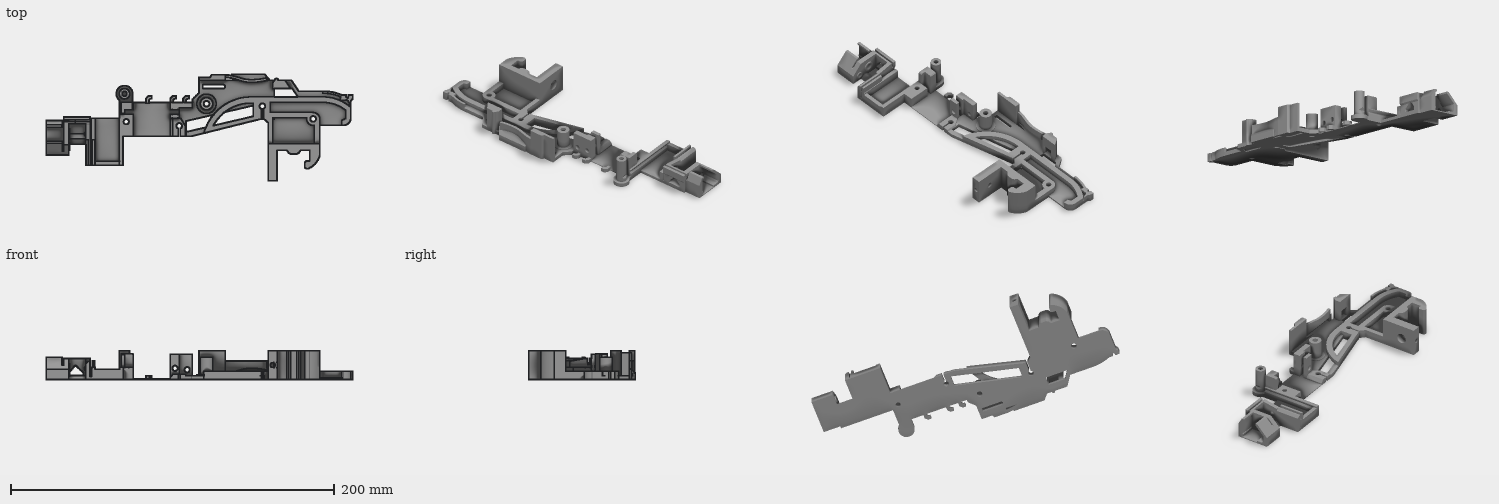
import cadquery as cq
import math

FULL_Z = 17.95
STRAP_Z = 0.5
PLATE_Z = 2.5
ARM_Z = 5.3
POCKET_FLOOR_Z = 1.15
BLOCK_Z = 7.6
SCREW_DIA = 3.4
SLIT_WIDTH = 1.1


def prism(points, bottom, top):
    return cq.Workplane("XY").workplane(offset=bottom).polyline(points).close().extrude(top - bottom)


def box(x_range, y_range, z_range):
    x0, x1 = x_range
    y0, y1 = y_range
    return prism([(x0, y0), (x1, y0), (x1, y1), (x0, y1)], *z_range)


def x_prism(points, start, end):
    """Extrude a (Y, Z) outline along X."""
    return cq.Workplane("YZ").workplane(offset=start).polyline(points).close().extrude(end - start)


def y_prism(points, start, end):
    """Extrude an (X, Z) outline along Y."""
    return cq.Workplane("XZ").workplane(offset=-end).polyline(points).close().extrude(end - start)


def cylinder(plane, offset, center, diameter, length):
    return cq.Workplane(plane).workplane(offset=offset).center(*center).circle(diameter / 2).extrude(length)


def z_cylinder(center, diameter, bottom, top):
    return cylinder("XY", bottom, center, diameter, top - bottom)


def x_cylinder(center, diameter, start, end):
    return cylinder("YZ", start, center, diameter, end - start)


def y_cylinder(center, diameter, start, end):
    return cylinder("XZ", -end, center, diameter, end - start)


def point_on_circle(center, radius, x):
    """Upper point of a circle at the given X."""
    return (x, center[1] + math.sqrt(radius ** 2 - (x - center[0]) ** 2))


def join(solids):
    total = solids[0]
    for solid in solids[1:]:
        total = total.union(solid)
    return total


HOUSING_END_X = 14.1
HOUSING_SLOT_X = (9.9, 10.9)
HOUSING_SLOT_Z = 9.0
HOUSING_FRONT_Y = 16.0
HOUSING_BACK_Y = 37.5
HOUSING_TOP_Z = 13.9
ROOF_EAVE_Z = 6.5
ROOF_RIDGE_Y = 23.3
ROOF_LIP_Y = 24.7
BACK_LIP_Y = (33.2, 34.9)
BACK_INNER_Y = 34.4
BACK_CHAMFER_Z = 9.3
LIP_BOTTOM_Z = 12.7
CAVITY_FRONT_Y = 18.7
CAVITY_EAVE_Z = 7.0
CAVITY_STEP = (ROOF_RIDGE_Y, 1.7)
CAVITY_BEVEL = 1.0
GUIDE_SIZE_Y = 0.5
GUIDE_Z = (2.2, 2.9)
END_WALL_Z = 13.1
HOUSING_FLOOR_Z = 0.6
LENS_CENTER = (29.0, 6.7)
LENS_DIA = 4.5
LENS_PAD_DIA = 6.5
PIN_CENTER = (21.3, 4.2)
PIN_DIA = 3.0
PIN_PAD_DIA = 4.5
PAD_THICKNESS = 0.6


def sensor_housing():
    outline = [
        (HOUSING_FRONT_Y, 0), (HOUSING_FRONT_Y, ROOF_EAVE_Z), (ROOF_RIDGE_Y, HOUSING_TOP_Z),
        (BACK_LIP_Y[1], HOUSING_TOP_Z), (HOUSING_BACK_Y, BACK_CHAMFER_Z), (HOUSING_BACK_Y, 0),
    ]
    cavity = [
        (BACK_INNER_Y, HOUSING_FLOOR_Z), (BACK_INNER_Y, LIP_BOTTOM_Z), (BACK_LIP_Y[0], LIP_BOTTOM_Z),
        (BACK_LIP_Y[0], FULL_Z), (ROOF_LIP_Y, FULL_Z), (ROOF_LIP_Y, LIP_BOTTOM_Z),
        (CAVITY_FRONT_Y, CAVITY_EAVE_Z),
        (CAVITY_FRONT_Y, CAVITY_STEP[1] + CAVITY_BEVEL),
        (CAVITY_FRONT_Y + CAVITY_BEVEL, CAVITY_STEP[1]), CAVITY_STEP,
        (CAVITY_STEP[0], HOUSING_FLOOR_Z),
    ]
    wall_x = HOUSING_SLOT_X[1]
    housing = x_prism(outline, 0, HOUSING_END_X).cut(x_prism(cavity, 0, wall_x))
    housing = housing.cut(box((wall_x, HOUSING_END_X), (0, HOUSING_BACK_Y), (END_WALL_Z, FULL_Z)))
    housing = housing.cut(box(HOUSING_SLOT_X, (0, HOUSING_BACK_Y), (HOUSING_SLOT_Z, FULL_Z)))
    guide_y = (BACK_INNER_Y - GUIDE_SIZE_Y, HOUSING_BACK_Y)
    housing = housing.union(box((0, HOUSING_SLOT_X[0]), guide_y, GUIDE_Z))
    for center, pad, hole in ((LENS_CENTER, LENS_PAD_DIA, LENS_DIA), (PIN_CENTER, PIN_PAD_DIA, PIN_DIA)):
        pad_end = HOUSING_END_X + PAD_THICKNESS
        housing = housing.union(x_cylinder(center, pad, HOUSING_END_X, pad_end))
        housing = housing.cut(x_cylinder(center, hole, wall_x, pad_end))
    return housing


BAY_WALL_X = (24.6, 27.2)
BAY_BACK_Y = (35.3, 39.7)
BAY_GROOVE_Y = (36.6, 37.8)
BAY_GROOVE_Z = 9.2
BAY_UNDERCUT_Z = (7.6, 8.6)
TRAY_BACK_Y = 38.9
TRAY_FRONT_Y = 9.6
BAY_FLOOR_FRONT_Y = 22.7
BAY_RIDGE = (26.0, 2.4)
BAY_VALLEY_Y = 29.2
BAY_WINDOW = [(14.7, 2.6), (14.7, 4.9), (18.1, 8.8), (23.0, 4.3), (23.0, 2.6)]
SHOULDER_Y = 25.5
SHOULDER_Z = 11.4
BAY_WALL_BEVEL = 1.5
CONE_LENGTH = 1.0
CONE_DIA = 3.0
CONE_TIP_DIA = 1.0


def bay():
    groove_wall = x_prism(
        [(BAY_BACK_Y[0], 0), (TRAY_BACK_Y, 0), (TRAY_BACK_Y, BAY_UNDERCUT_Z[0]),
         (BAY_BACK_Y[1], BAY_UNDERCUT_Z[1]), (BAY_BACK_Y[1], END_WALL_Z), (BAY_BACK_Y[0], END_WALL_Z)],
        HOUSING_SLOT_X[1], BAY_WALL_X[1])
    groove = box((0, BAY_WALL_X[1]), BAY_GROOVE_Y, (BAY_GROOVE_Z, FULL_Z))
    window = y_prism(BAY_WINDOW, *BAY_BACK_Y)
    floor = x_prism(
        [(BAY_FLOOR_FRONT_Y, 0), BAY_RIDGE, (BAY_VALLEY_Y, HOUSING_FLOOR_Z),
         (BAY_BACK_Y[0], HOUSING_FLOOR_Z), (BAY_BACK_Y[0], 0)], HOUSING_END_X, BAY_WALL_X[0])
    side_wall = x_prism(
        [(TRAY_FRONT_Y, 0), (TRAY_FRONT_Y, SHOULDER_Z), (SHOULDER_Y, SHOULDER_Z),
         (BAY_BACK_Y[0], END_WALL_Z), (BAY_BACK_Y[0], 0)], *BAY_WALL_X)
    bevel = y_prism(
        [(BAY_WALL_X[0], SHOULDER_Z - BAY_WALL_BEVEL), (BAY_WALL_X[0], SHOULDER_Z),
         (BAY_WALL_X[0] + BAY_WALL_BEVEL, SHOULDER_Z)], TRAY_FRONT_Y, SHOULDER_Y)
    cone = (cq.Workplane("YZ").workplane(offset=BAY_WALL_X[0]).center(*LENS_CENTER)
            .circle(CONE_DIA / 2).workplane(offset=-CONE_LENGTH).circle(CONE_TIP_DIA / 2).loft())
    return groove_wall.cut(groove).cut(window).union(floor).union(side_wall.cut(bevel)).union(cone)


TRAY_SLAB_X = (28.0, 30.4)
TRAY_RIDGE_X = (28.6, 30.0)
TRAY_RIDGE_Z = 11.8
TRAY_FLOOR_Z = 1.8
TRAY_RIM_Y = 12.1
TRAY_RIM_Z = 6.5
RAIL_X = (45.3, 47.7)
RAIL_GROOVE_Z = (4.4, 5.6, 7.1)
RAIL_GROOVE_DEPTH = 0.9
BLOCK_BACK_Y = 48.7


def tray():
    depth = (TRAY_FRONT_Y, TRAY_BACK_Y)
    floor = box((BAY_WALL_X[0], RAIL_X[1]), depth, (0, TRAY_FLOOR_Z))
    slab = box(TRAY_SLAB_X, depth, (0, BLOCK_Z))
    ridge = box(TRAY_RIDGE_X, (TRAY_FRONT_Y, SHOULDER_Y), (0, TRAY_RIDGE_Z))
    rim = box((TRAY_SLAB_X[0], RAIL_X[1]), (TRAY_FRONT_Y, TRAY_RIM_Y), (0, TRAY_RIM_Z))
    rail = box(RAIL_X, (TRAY_FRONT_Y, BLOCK_BACK_Y), (0, BLOCK_Z))
    return join([floor, slab, ridge, rim, rail])


def rail_groove():
    low, middle, high = RAIL_GROOVE_Z
    face_x = RAIL_X[0]
    mouth = [(face_x - RAIL_GROOVE_DEPTH, low), (face_x, low)]
    notch = [(face_x + RAIL_GROOVE_DEPTH, middle), (face_x, high), (face_x - RAIL_GROOVE_DEPTH, high)]
    return y_prism(mouth + notch, TRAY_RIM_Y, LEFT_POST[1] + LEFT_POST_DIA)


BLOCK_X = (RAIL_X[0], 54.0)
SPINE_Y = 27.6
BLOCK_FRONT_TOP_Y = 41.2
CHANNEL_Y = (41.2, 44.1)
CHANNEL_START_X = 48.8
LEFT_TOWER_X = (46.4, 54.0)
LEFT_TOWER_Z = 16.1
LEFT_TOWER_BEVEL = 0.6
BLOCK_HOLE = (49.6, 36.7)
BLOCK_HOLE_DIA = 3.15
PLATE_START_X = 82.3
LEFT_POST = (48.5, 54.0)
LEFT_POST_RING_DIA = 10.2
LEFT_POST_DIA = 6.5
LEFT_POST_HOLE_DIA = 3.0
LEFT_POST_HOLE_BOTTOM_Z = 8.0
HOOK_XS = (61.7, 76.7, 84.7)
HOOK_SHAPE = [(0, -0.5), (0, 2.3), (1.6, 4.0), (3.8, 4.0), (3.8, 2.2), (2.8, 2.2), (2.0, 1.3), (2.0, -0.5)]


def screw_block():
    block = box(BLOCK_X, (SPINE_Y, BLOCK_FRONT_TOP_Y), (0, BLOCK_Z))
    x0, x1 = LEFT_TOWER_X
    tower = box((x0, x1), (CHANNEL_Y[1], BLOCK_BACK_Y), (0, LEFT_TOWER_Z))
    tower = tower.edges(">X and >Z").chamfer(LEFT_TOWER_BEVEL)
    cheek = box((x0, CHANNEL_START_X), (CHANNEL_Y[0], BLOCK_BACK_Y), (0, LEFT_TOWER_Z))
    cheek = cheek.edges("<Y and >Z").chamfer(LEFT_TOWER_BEVEL)
    strap = box((RAIL_X[1], PLATE_START_X), (SPINE_Y, BLOCK_BACK_Y), (0, STRAP_Z))
    return join([block, tower, cheek, strap]).cut(z_cylinder(BLOCK_HOLE, BLOCK_HOLE_DIA, 0, BLOCK_Z))


def left_post():
    tab_end_x = LEFT_POST[0] + LEFT_POST_RING_DIA / 2
    tab = box((RAIL_X[0], tab_end_x), (BLOCK_BACK_Y, LEFT_POST[1]), (0, PLATE_Z))
    ring = z_cylinder(LEFT_POST, LEFT_POST_RING_DIA, 0, PLATE_Z)
    post = z_cylinder(LEFT_POST, LEFT_POST_DIA, 0, FULL_Z)
    hole = z_cylinder(LEFT_POST, LEFT_POST_HOLE_DIA, LEFT_POST_HOLE_BOTTOM_Z, FULL_Z)
    return tab.union(ring).union(post).cut(hole)


def cable_hooks():
    hooks = []
    for start_x in HOOK_XS:
        hooks.append(prism([(start_x + x, BLOCK_BACK_Y + y) for x, y in HOOK_SHAPE], 0, PLATE_Z))
    return join(hooks)


BRACKET_X = (76.8, 90.5)
BRACKET_STEP_X = 82.5
BRACKET_Z = 15.7
BRACKET_BACK_Y = 45.3
FRONT_EAR_Y = (38.9, 41.2)
EAR_HOLE = (79.8, 7.0)
BRACKET_HOLE = (87.3, 6.1)
BRACKET_HOLE_DIA = 3.2
PAD_X = (76.8, 78.5, 86.0, 86.6)
PAD_Z = 3.4
PAD_FOOT_Z = 1.3
PAD_BACK_X = 83.2
PAD_SIDE_Y = 33.6
LEFT_KEYHOLE = (82.4, 34.1)
PLATE_BACK_Y = 62.4
PLATE_LEFT_X = 94.5
PLATE_RIGHT_X = 141.3
PLATE_CORNER_Y = (50.5, 54.4)
DIAGONAL_START = (89.9, SPINE_Y)
DIAGONAL_END = (132.5, 38.2)
OPENING_RIGHT_X = 128.2
OPENING = [(84.8, 36.6), (86.6, 33.6), (86.6, 30.4), (OPENING_RIGHT_X, 40.1), (OPENING_RIGHT_X, 46.6)]
PLATE_SLOT_X = (97.0, 110.8)
PLATE_SLOT_Y = (57.3, 59.6)
PLATE_SLOT_END_RADIUS = 1.1
MAIN_POST = (99.3, 47.8)
MAIN_POST_DIA = 7.7
MAIN_POST_Z = 13.9
MAIN_POST_RING_DIA = 12.0
MAIN_POST_RING_HEIGHT = 0.4


def keyhole(center, slit_bottom_y, top):
    slit_x = (center[0] - SLIT_WIDTH / 2, center[0] + SLIT_WIDTH / 2)
    return z_cylinder(center, SCREW_DIA, 0, top).union(box(slit_x, (slit_bottom_y, center[1]), (0, top)))


def main_plate():
    plate = prism(
        [(PLATE_START_X, SPINE_Y), DIAGONAL_START, DIAGONAL_END, (PLATE_RIGHT_X, DIAGONAL_END[1]),
         (PLATE_RIGHT_X, PLATE_BACK_Y), (PLATE_LEFT_X, PLATE_BACK_Y), (PLATE_LEFT_X, PLATE_CORNER_Y[1]),
         (BRACKET_X[1], PLATE_CORNER_Y[0]), (BRACKET_X[1], BLOCK_BACK_Y), (PLATE_START_X, BLOCK_BACK_Y)],
        0, PLATE_Z)
    slot = box(PLATE_SLOT_X, PLATE_SLOT_Y, (0, PLATE_Z)).edges(">X and |Z").fillet(PLATE_SLOT_END_RADIUS)
    plate = plate.cut(prism(OPENING, 0, PLATE_Z)).cut(slot)
    ring_z = PLATE_Z + MAIN_POST_RING_HEIGHT
    plate = plate.union(z_cylinder(MAIN_POST, MAIN_POST_RING_DIA, 0, ring_z))
    plate = plate.union(z_cylinder(MAIN_POST, MAIN_POST_DIA, 0, MAIN_POST_Z))
    return plate.cut(z_cylinder(MAIN_POST, SCREW_DIA, 0, MAIN_POST_Z))


def plate_bracket():
    x0, x1 = BRACKET_X
    back = box((x0, x1), (BRACKET_BACK_Y, BLOCK_BACK_Y), (0, BRACKET_Z))
    thick = box((x0, BRACKET_STEP_X), (CHANNEL_Y[1], BLOCK_BACK_Y), (0, BRACKET_Z))
    ear = box((x0, BRACKET_STEP_X), FRONT_EAR_Y, (0, BRACKET_Z))
    bracket = join([back, thick, ear])
    for center in (EAR_HOLE, BRACKET_HOLE):
        bracket = bracket.cut(y_cylinder(center, BRACKET_HOLE_DIA, FRONT_EAR_Y[0], BLOCK_BACK_Y))
    ramp_start, top_start, top_end, ramp_end = PAD_X
    pad = y_prism(
        [(ramp_start, 0), (ramp_start, PAD_FOOT_Z), (top_start, PAD_Z), (top_end, PAD_Z),
         (ramp_end, PLATE_Z), (ramp_end, 0)],
        SPINE_Y, FRONT_EAR_Y[0])
    corner = prism(
        [(PAD_BACK_X, FRONT_EAR_Y[0]), (ramp_end, PAD_SIDE_Y), (ramp_end, FRONT_EAR_Y[0])], PLATE_Z, PAD_Z)
    return bracket.union(pad.cut(corner))


SCREEN_X = (PLATE_LEFT_X, 111.0)
SCREEN_Y = (PLATE_BACK_Y, 64.1)
SCREEN_RIB_X = (101.4, 102.4)
SCREEN_RIB_Y = 65.8
FENCE_Z = 11.6
FENCE_THICKNESS = 1.7
FENCE_PATH = [(110.9, 65.8), (116.5, 64.9), (123.0, 63.1), (130.5, 62.9), (136.8, 63.9)]
SKIRT_X = (115.0, 135.4, 138.4)
SKIRT_Y = (PLATE_BACK_Y, 66.1)
SKIRT_Z = (4.1, 7.3)
SKIRT_HOLLOW = [(60.5, PLATE_Z), (60.5, 7.6), (64.6, 3.5), (64.6, PLATE_Z)]
SKIRT_HOLLOW_X = (112.0, 136.2)
TOWER_X = (140.2, 147.9, 151.4)
TOWER_FRONT_Y = 57.2
TOWER_Z = 16.7
TOWER_BUMP = (142.6, PLATE_BACK_Y)
TOWER_BUMP_DIA = 2.2
TOWER_CORNER = (1.2, 1.6)
TOWER_POCKET_X = (141.6, 148.0)
TOWER_POCKET_Z = (PLATE_Z, 9.2)
TOWER_POCKET_DEPTH = 3.0


def back_walls():
    screen = box(SCREEN_X, SCREEN_Y, (0, FULL_Z))
    rib = prism(
        [(SCREEN_RIB_X[0], SCREEN_Y[1]), (SCREEN_RIB_X[1], SCREEN_RIB_Y), (SCREEN_X[1], SCREEN_RIB_Y),
         (SCREEN_X[1], SCREEN_Y[1])], 0, FULL_Z)
    inner_path = [(x, y - FENCE_THICKNESS) for x, y in reversed(FENCE_PATH)]
    fence = (cq.Workplane("XY").moveTo(*FENCE_PATH[0]).spline(FENCE_PATH[1:], includeCurrent=True)
             .lineTo(*inner_path[0]).spline(inner_path[1:], includeCurrent=True).close().extrude(FENCE_Z))
    start_x, outer_end_x, end_x = SKIRT_X
    skirt = x_prism(
        [(SKIRT_Y[0], 0), (SKIRT_Y[1], 0), (SKIRT_Y[1], SKIRT_Z[0]), (SKIRT_Y[0], SKIRT_Z[1])],
        start_x, end_x)
    skirt = skirt.cut(prism([(outer_end_x, SKIRT_Y[1]), (end_x, SKIRT_Y[0]), (end_x, SKIRT_Y[1])], 0, FULL_Z))
    middle_path = [(x, y - FENCE_THICKNESS / 2) for x, y in reversed(FENCE_PATH)]
    front_of_fence = (cq.Workplane("XY").moveTo(*middle_path[0]).spline(middle_path[1:], includeCurrent=True)
                      .lineTo(FENCE_PATH[0][0], TOWER_FRONT_Y).lineTo(end_x, TOWER_FRONT_Y)
                      .close().extrude(FULL_Z))
    skirted_fence = fence.union(skirt.cut(front_of_fence)).cut(x_prism(SKIRT_HOLLOW, *SKIRT_HOLLOW_X))
    return join([screen, rib, skirted_fence])


def back_tower():
    left, right_back, right_front = TOWER_X
    tower = prism(
        [(left, TOWER_FRONT_Y), (right_front, TOWER_FRONT_Y), (right_back, PLATE_BACK_Y),
         (left + TOWER_CORNER[0], PLATE_BACK_Y), (left, PLATE_BACK_Y - TOWER_CORNER[1])],
        0, TOWER_Z)
    tower = tower.union(z_cylinder(TOWER_BUMP, TOWER_BUMP_DIA, 0, TOWER_Z))
    pocket_y = (TOWER_FRONT_Y, TOWER_FRONT_Y + TOWER_POCKET_DEPTH)
    return tower.cut(box(TOWER_POCKET_X, pocket_y, TOWER_POCKET_Z))


ARM_BACK_Y = 52.1
ARM_WIDTH = 3.4
NECK_RADIUS = 30.4
NECK_CENTER = (127.0, ARM_BACK_Y - NECK_RADIUS)
NECK_START = (97.6, 29.5)
NECK_MID_X = 108.0
NECK_WIDTH = 3.8
NECK_INNER_RADIUS = NECK_RADIUS - NECK_WIDTH
TIP_RADIUS = 26.2
TIP_CENTER = (171.4, ARM_BACK_Y - TIP_RADIUS)
TIP_X = 188.7
TIP_MID_X = 181.0
TIP_FRONT_Y = 34.4
TIP_TOE_X = 184.0
TIP_TOE_RADIUS = 4.7
TIP_TOE_POCKET_X = 183.1
TIP_TOE_POCKET_Y = 37.6
TIP_TOE_POCKET_TOP_Y = 38.6
ARM_POCKET_X = (138.6, 185.4)
FRAME_X = (137.4, 169.5)
FRAME_CORNER = [(FRAME_X[0], 36.0), (134.8, 38.4)]
CLAMP_BACK_Y = 23.0
FRAME_POCKET_X = (140.2, 165.9)
FRAME_POCKET_BACK_Y = 39.0
FRAME_HOLE = (165.3, 38.4)
FRAME_BOSS_RADIUS = 4.0
RIGHT_KEYHOLE = (133.9, 46.3)
RIGHT_SLIT_Y = 37.0


def arm_pocket():
    x0, x1 = ARM_POCKET_X
    radius = TIP_RADIUS - ARM_WIDTH
    boss_x, boss_y = FRAME_HOLE
    corner = FRAME_BOSS_RADIUS * math.sqrt(0.5)
    return (cq.Workplane("XY").workplane(offset=POCKET_FLOOR_Z)
            .moveTo(x0, boss_y + FRAME_BOSS_RADIUS).lineTo(x0, ARM_BACK_Y - ARM_WIDTH)
            .lineTo(TIP_CENTER[0], ARM_BACK_Y - ARM_WIDTH)
            .threePointArc(point_on_circle(TIP_CENTER, radius, TIP_MID_X),
                           point_on_circle(TIP_CENTER, radius, x1))
            .lineTo(x1, TIP_TOE_POCKET_TOP_Y).lineTo(TIP_TOE_POCKET_X, TIP_TOE_POCKET_Y)
            .lineTo(TIP_TOE_POCKET_X, TIP_FRONT_Y).lineTo(FRAME_X[1], TIP_FRONT_Y).lineTo(FRAME_X[1], boss_y)
            .threePointArc((boss_x + corner, boss_y + corner), (boss_x, boss_y + FRAME_BOSS_RADIUS))
            .close().extrude(ARM_Z - POCKET_FLOOR_Z))


def arm():
    toe = TIP_TOE_RADIUS * (1 - math.sqrt(0.5))
    body = (cq.Workplane("XY").moveTo(*NECK_START)
            .threePointArc(point_on_circle(NECK_CENTER, NECK_RADIUS, NECK_MID_X),
                           (NECK_CENTER[0], ARM_BACK_Y))
            .lineTo(TIP_CENTER[0], ARM_BACK_Y)
            .threePointArc(point_on_circle(TIP_CENTER, TIP_RADIUS, TIP_MID_X),
                           point_on_circle(TIP_CENTER, TIP_RADIUS, TIP_X))
            .lineTo(TIP_X, TIP_FRONT_Y + TIP_TOE_RADIUS)
            .threePointArc((TIP_X - toe, TIP_FRONT_Y + toe), (TIP_TOE_X, TIP_FRONT_Y))
            .lineTo(FRAME_X[1], TIP_FRONT_Y).lineTo(FRAME_X[1], CLAMP_BACK_Y).lineTo(FRAME_X[0], CLAMP_BACK_Y)
            .lineTo(*FRAME_CORNER[0]).lineTo(*FRAME_CORNER[1]).lineTo(*DIAGONAL_END)
            .close().extrude(ARM_Z))
    truss = prism(
        [OPENING[2], OPENING[3], (OPENING_RIGHT_X, ARM_BACK_Y), (OPENING[2][0], ARM_BACK_Y)], PLATE_Z, ARM_Z)
    truss = truss.intersect(z_cylinder(NECK_CENTER, 2 * NECK_INNER_RADIUS, 0, ARM_Z))
    frame_pocket = box(FRAME_POCKET_X, (CLAMP_BACK_Y, FRAME_POCKET_BACK_Y), (POCKET_FLOOR_Z, ARM_Z))
    frame_pocket = frame_pocket.cut(z_cylinder(FRAME_HOLE, 2 * FRAME_BOSS_RADIUS, 0, ARM_Z))
    body = body.cut(truss).cut(prism(OPENING, 0, PLATE_Z)).cut(frame_pocket)
    return body.cut(z_cylinder(FRAME_HOLE, SCREW_DIA, 0, ARM_Z))


RAIL_BACK_Y = 55.7
RAIL_RADIUS = RAIL_BACK_Y - TIP_CENTER[1]
BRACE_OUTER = [(151.9, PLATE_BACK_Y), (156.4, RAIL_BACK_Y)]
BRACE_INNER = [(155.8, ARM_BACK_Y), (152.4, TOWER_FRONT_Y)]
CLIP_THICKNESS = 1.4
CLIP_FRONT_Y = 44.0
CLIP_OVERLAP = 0.5
CLIP_FINGERS = ([(182.0, 50.0), (182.6, 53.3), (185.7, 53.3), (185.7, 50.0)],
                [(186.6, 50.4), (187.2, 53.3), (189.9, 53.3), (189.9, 51.0), (TIP_X, 49.5), (TIP_X, 46.0)])


def back_rail():
    brace = prism(
        [BRACE_OUTER[0], BRACE_OUTER[1], (TIP_CENTER[0], RAIL_BACK_Y), (TIP_CENTER[0], ARM_BACK_Y),
         BRACE_INNER[0], BRACE_INNER[1], (TOWER_X[1], TOWER_FRONT_Y), (TOWER_X[1], PLATE_BACK_Y)], 0, PLATE_Z)
    tip_zone = box((TIP_CENTER[0], TIP_X), (CLIP_FRONT_Y, RAIL_BACK_Y), (0, ARM_Z))
    curve = z_cylinder(TIP_CENTER, 2 * RAIL_RADIUS, 0, PLATE_Z)
    curve = curve.cut(z_cylinder(TIP_CENTER, 2 * (TIP_RADIUS - CLIP_OVERLAP), 0, PLATE_Z))
    clip = z_cylinder(TIP_CENTER, 2 * RAIL_RADIUS, 0, ARM_Z)
    clip = clip.cut(z_cylinder(TIP_CENTER, 2 * (RAIL_RADIUS - CLIP_THICKNESS), 0, ARM_Z))
    fingers = [prism(finger, 0, ARM_Z) for finger in CLIP_FINGERS]
    return join([brace, curve.union(clip).intersect(tip_zone)] + fingers)


CLAMP_BAR_Y = (19.0, CLAMP_BACK_Y)
CLAMP_LEG_X = (FRAME_X[0], 143.0)
CLAMP_BUMP_X = 153.3
CLAMP_BUMP_HALF = [(4.3, 0), (3.2, 1.6), (1.8, 2.4)]
JAW_INNER_X = 163.2
JAW_STEP_Y = 12.4
JAW_LIP_X = (160.0, 161.0)
JAW_LIP_Y = (8.6, 11.5)
JAW_TIP = [(161.0, 7.6), (162.8, 7.8)]
JAW_BACK = [(167.2, 11.3), (FRAME_X[1], 15.8)]
LEG_END_HOLE = (140.3, 9.0)
LEG_END_HOLE_DIA = 3.0
LEG_SIDE_HOLE = (9.2, 8.9)
LEG_NUT_DIA = 6.5
LEG_NUT_DEPTH = 3.5


def clamp():
    leg = box(CLAMP_LEG_X, (0, CLAMP_BACK_Y), (0, FULL_Z))
    bar = box(FRAME_X, CLAMP_BAR_Y, (0, FULL_Z))
    bump_left = [(CLAMP_BUMP_X - half, CLAMP_BAR_Y[0] - out) for half, out in CLAMP_BUMP_HALF]
    bump_right = [(CLAMP_BUMP_X + half, CLAMP_BAR_Y[0] - out) for half, out in reversed(CLAMP_BUMP_HALF)]
    bump = prism(bump_left + bump_right, 0, FULL_Z)
    jaw = (cq.Workplane("XY").moveTo(JAW_INNER_X, CLAMP_BAR_Y[0]).lineTo(JAW_INNER_X, JAW_STEP_Y)
           .lineTo(JAW_LIP_X[1], JAW_STEP_Y).lineTo(JAW_LIP_X[0], JAW_LIP_Y[1])
           .lineTo(JAW_LIP_X[0], JAW_LIP_Y[0])
           .threePointArc(JAW_TIP[0], JAW_TIP[1]).threePointArc(JAW_BACK[0], JAW_BACK[1])
           .lineTo(FRAME_X[1], CLAMP_BAR_Y[0]).close().extrude(FULL_Z))
    leg_x = CLAMP_LEG_X[0]
    leg = leg.cut(y_cylinder(LEG_END_HOLE, LEG_END_HOLE_DIA, 0, LEG_SIDE_HOLE[0]))
    leg = leg.cut(x_cylinder(LEG_SIDE_HOLE, LEG_NUT_DIA, leg_x, leg_x + LEG_NUT_DEPTH))
    leg = leg.cut(x_cylinder(LEG_SIDE_HOLE, SCREW_DIA, leg_x, CLAMP_LEG_X[1]))
    return join([leg, bar, bump, jaw])


frame = join([
    sensor_housing(), bay(), tray(), screw_block(), left_post(), cable_hooks(),
    main_plate(), plate_bracket(), back_walls(), back_tower(), arm(), back_rail(), clamp(),
])
frame = frame.cut(rail_groove()).cut(arm_pocket())
frame = frame.cut(keyhole(LEFT_KEYHOLE, SPINE_Y, PAD_Z))
result = frame.cut(keyhole(RIGHT_KEYHOLE, RIGHT_SLIT_Y, ARM_Z))